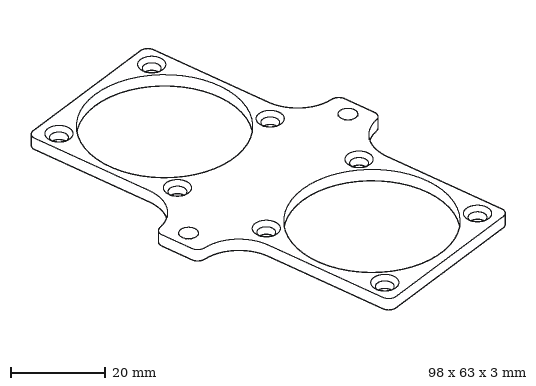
import cadquery as cq

plate_length = 98.0
plate_width = 41.0
thickness = 3.0
corner_radius = 2.0

overall_width = 63.0
tab_length = 12.0
tab_root_radius = 10.0
tab_hole_diameter = 4.2
tab_hole_y = 27.5

fan_x = 28.0
fan_opening_diameter = 37.5
screw_pitch = 32.0
screw_hole_diameter = 4.0
screw_head_diameter = 6.0
countersink_angle = 90.0


def make_slab(length, width):
    """Flat slab centred on the origin with its underside at Z = 0."""
    return cq.Workplane("XY").rect(length, width).extrude(thickness)


def make_body():
    """Plate crossed by a bar whose ends form the tabs, with all corners rounded."""
    plate = make_slab(plate_length, plate_width)
    bar = make_slab(tab_length, overall_width)
    body = plate.union(bar)
    body = body.edges("|Z exc (>X or <X or >Y or <Y)").fillet(tab_root_radius)
    return body.edges("|Z and (>X or <X or >Y or <Y)").fillet(corner_radius)


def on_top(body, points):
    """Points placed on the top face of the body, ready for drilling."""
    return body.faces(">Z").workplane(origin=(0, 0, thickness)).pushPoints(points)


def screw_points():
    half_pitch = screw_pitch / 2
    return [
        (fan_center + dx, dy)
        for fan_center in (-fan_x, fan_x)
        for dx in (-half_pitch, half_pitch)
        for dy in (-half_pitch, half_pitch)
    ]


def cut_fan_openings(body):
    return on_top(body, [(-fan_x, 0), (fan_x, 0)]).hole(fan_opening_diameter)


def cut_tab_holes(body):
    return on_top(body, [(0, -tab_hole_y), (0, tab_hole_y)]).hole(tab_hole_diameter)


def cut_screw_holes(body):
    drill = on_top(body, screw_points())
    return drill.cskHole(screw_hole_diameter, screw_head_diameter, countersink_angle)


result = cut_screw_holes(cut_tab_holes(cut_fan_openings(make_body())))